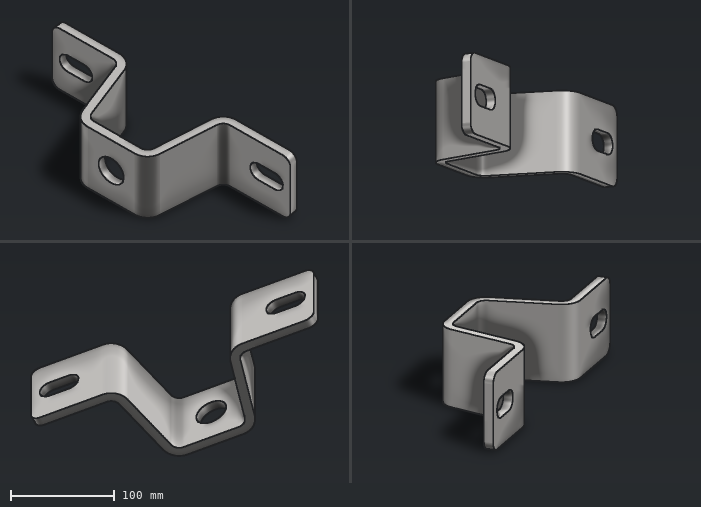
import cadquery as cq
import math

length = 300.0
depth = 100.0
height = 80.0

thickness = 10.0
inner_bend_radius = 10.0
outer_bend_radius = inner_bend_radius + thickness
web_flat_width = 58.8
leg_tilt = math.radians(13)

corner_radius = 10.0
web_hole_diameter = 31.5
slot_length = 41.0
slot_width = 21.0
slot_offset = 120.0

bend_angle = math.pi / 2 - leg_tilt
half_bend = math.tan(bend_angle / 2)

web_front = -depth / 2
web_back = web_front + thickness
flange_back = depth / 2
flange_front = flange_back - thickness
leg_run = (depth - thickness) * math.tan(leg_tilt)
web_outer_x = web_flat_width / 2 + outer_bend_radius * half_bend
web_inner_x = web_flat_width / 2 + inner_bend_radius * half_bend
flange_inner_x = web_outer_x + leg_run
flange_outer_x = web_inner_x + leg_run

web_outer_corner = (web_outer_x, web_front)
web_inner_corner = (web_inner_x, web_back)
flange_inner_corner = (flange_inner_x, flange_front)
flange_outer_corner = (flange_outer_x, flange_back)


def mirrored(point):
    return (-point[0], point[1])


def round_bends(body, corner, radius):
    """Round the upright edges at a corner and at its mirror image."""
    for x, y in (corner, mirrored(corner)):
        edge = cq.selectors.NearestToPointSelector((x, y, 0))
        body = body.edges("|Z").edges(edge).fillet(radius)
    return body


def make_strip():
    right_side = [
        web_outer_corner,
        flange_inner_corner,
        (length / 2, flange_front),
        (length / 2, flange_back),
        flange_outer_corner,
        web_inner_corner,
    ]
    left_side = [mirrored(point) for point in reversed(right_side)]
    strip = (
        cq.Workplane("XY")
        .polyline(right_side + left_side)
        .close()
        .extrude(height / 2, both=True)
    )
    strip = round_bends(strip, web_outer_corner, outer_bend_radius)
    strip = round_bends(strip, web_inner_corner, inner_bend_radius)
    strip = round_bends(strip, flange_inner_corner, inner_bend_radius)
    return round_bends(strip, flange_outer_corner, outer_bend_radius)


def round_flange_corners(body):
    for end_face in ("<X", ">X"):
        body = body.faces(end_face).edges("|Y").fillet(corner_radius)
    return body


def make_web_hole():
    return (
        cq.Workplane("XZ", origin=(0, web_front, 0))
        .circle(web_hole_diameter / 2)
        .extrude(-thickness)
    )


def make_flange_slots():
    return (
        cq.Workplane("XZ", origin=(0, flange_front, 0))
        .pushPoints([(-slot_offset, 0), (slot_offset, 0)])
        .slot2D(slot_length, slot_width)
        .extrude(-thickness)
    )


bracket = round_flange_corners(make_strip())
result = bracket.cut(make_web_hole()).cut(make_flange_slots())